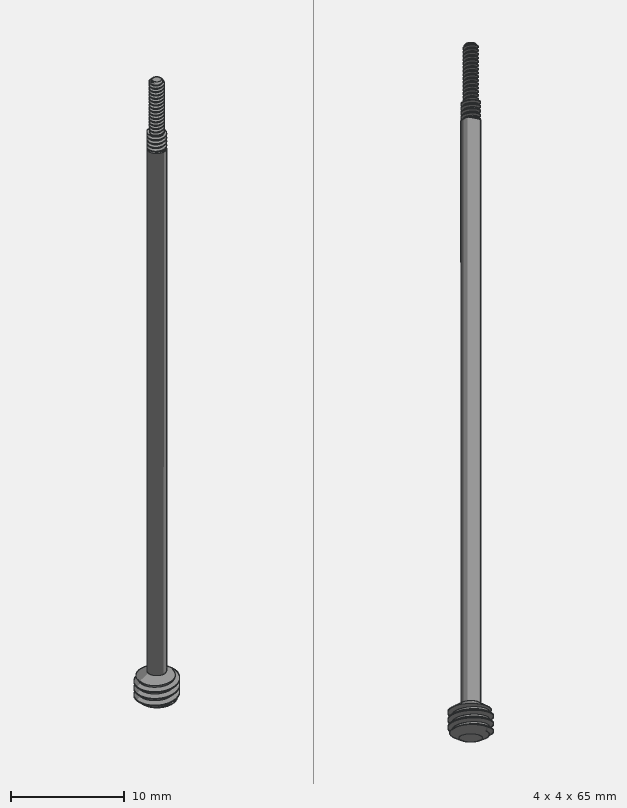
import cadquery as cq
import math

total_length = 65.0
rod_diameter = 1.75

head_diameter = 4.0
head_thread_angle = 60
head_height = 3.2
head_cone_height = 0.7
head_bottom_diameter = 2.1
head_chamfer_height = 0.5

stud_diameter = 1.35
stud_pitch = 0.35
stud_thread_angle = 85
stud_length = 5.45
stud_chamfer = 0.25
rod_thread_pitch = 0.4
rod_thread_angle = 270
rod_thread_length = 1.75

crest_flat = 1 / 8
root_flat = 1 / 4
flank_angle = math.radians(30)
cutter_overshoot = 0.05

spare_turns = 3

head_pitch = 2 * stud_pitch
stud_base = total_length - stud_length
rod_thread_base = stud_base - rod_thread_length


def cylinder(diameter, bottom, top):
    return cq.Workplane("XY").workplane(offset=bottom).circle(diameter / 2).extrude(top - bottom)


def thread_cutter(diameter, pitch, angle, bottom, top):
    """Right-handed groove tool, one turn past both thread ends, crossing the bottom at an angle about Z."""
    half_root = pitch * root_flat / 2
    half_mouth = pitch * (1 - crest_flat) / 2
    overshoot = pitch * cutter_overshoot
    crest_radius = diameter / 2
    root_radius = crest_radius - (half_mouth - half_root) / math.tan(flank_angle)
    outer_radius = crest_radius + overshoot
    half_outer = half_mouth + overshoot * math.tan(flank_angle)

    path = cq.Wire.makeHelix(pitch, top - bottom + 2 * pitch, crest_radius)
    groove = (
        cq.Workplane("XZ")
        .moveTo(root_radius, -half_root)
        .lineTo(outer_radius, -half_outer)
        .lineTo(outer_radius, half_outer)
        .lineTo(root_radius, half_root)
        .close()
        .sweep(cq.Workplane(path), isFrenet=True)
    )
    return groove.rotate((0, 0, 0), (0, 0, 1), angle).translate((0, 0, bottom - pitch))


def threaded_bar(diameter, pitch, angle, bottom, top):
    """Threaded bar with spare length past both ends, to be trimmed to its final shape."""
    spare = spare_turns * pitch
    bar = cylinder(diameter, bottom - spare, top + spare)
    return bar.cut(thread_cutter(diameter, pitch, angle, bottom, top))


def threaded_head():
    """Threaded plug with a chamfered underside and a conical shoulder up to the rod."""
    head_radius = head_diameter / 2
    bottom_radius = head_bottom_diameter / 2
    rod_radius = rod_diameter / 2
    trim_radius = head_diameter
    cone_base = head_height - head_cone_height
    envelope = (
        cq.Workplane("XZ")
        .lineTo(bottom_radius, 0)
        .lineTo(head_radius, head_chamfer_height)
        .lineTo(trim_radius, head_chamfer_height)
        .lineTo(trim_radius, cone_base)
        .lineTo(head_radius, cone_base)
        .lineTo(rod_radius, head_height)
        .lineTo(0, head_height)
        .close()
        .revolve(360, (0, 0, 0), (0, 1, 0))
    )
    bar = threaded_bar(head_diameter, head_pitch, head_thread_angle, 0, head_height)
    return bar.intersect(envelope)


def rod_thread():
    """Threaded stretch of the rod just below the stud."""
    bar = threaded_bar(rod_diameter, rod_thread_pitch, rod_thread_angle, rod_thread_base, stud_base)
    return bar.intersect(cylinder(head_diameter, rod_thread_base, stud_base))


def stud():
    """Slim threaded tip with a chamfered end, trimmed by a 45 degree cone."""
    tip_radius = stud_diameter / 2 - stud_chamfer
    trim_radius = tip_radius + stud_length
    trim = (
        cq.Workplane("XZ")
        .moveTo(0, stud_base)
        .lineTo(trim_radius, stud_base)
        .lineTo(tip_radius, total_length)
        .lineTo(0, total_length)
        .close()
        .revolve(360, (0, 0, 0), (0, 1, 0))
    )
    bar = threaded_bar(stud_diameter, stud_pitch, stud_thread_angle, stud_base, total_length)
    return bar.intersect(trim)


rod = cylinder(rod_diameter, head_height, rod_thread_base)
result = threaded_head().union(rod).union(rod_thread()).union(stud())